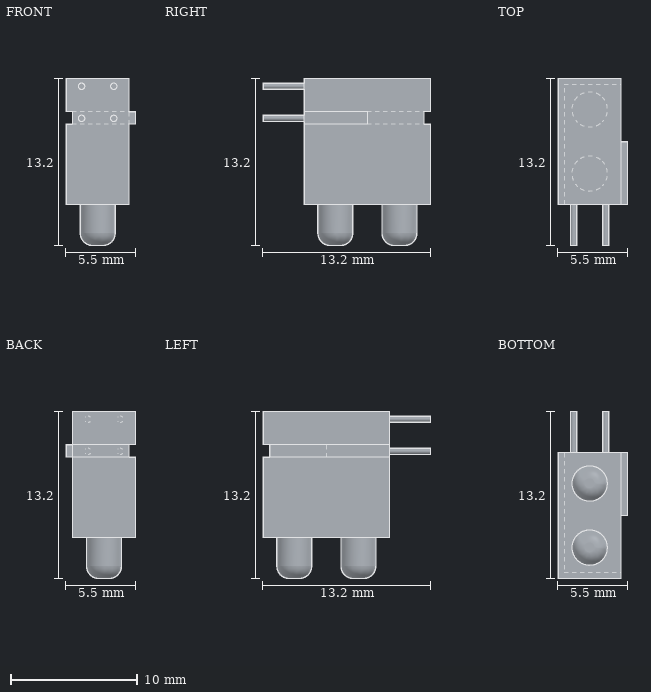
import cadquery as cq

body_width = 5.0
body_depth = 10.0
body_height = 10.0
protrusion = 3.25

groove_top_drop = 2.64
groove_height = 1.0
groove_depth = 0.5
rib_length = body_depth / 2
groove_bottom = body_height - groove_top_drop - groove_height

lamp_diameter = 2.8
lamp_round = 1.01
lamp_spacing = 5.07

pin_diameter = 0.5
pin_spacing = 2.55
top_pin_drop = 0.62


def box(x, y, z, width, depth, height):
    """Box placed by its lowest corner."""
    return cq.Workplane("XY").box(width, depth, height, centered=False).translate((x, y, z))


def make_housing():
    """Block with a groove along the left and back faces and a rib on the right."""
    block = box(0, 0, 0, body_width, body_depth, body_height)
    side_groove = box(0, 0, groove_bottom, groove_depth, body_depth, groove_height)
    back_groove = box(
        0, body_depth - groove_depth, groove_bottom, body_width, groove_depth, groove_height
    )
    rib = box(body_width, 0, groove_bottom, groove_depth, rib_length, groove_height)
    return block.cut(side_groove).cut(back_groove).union(rib)


def make_lamps():
    """Two round-ended lamps in a row along Y under the housing."""
    middle = body_depth / 2
    centres = [(body_width / 2, middle + side * lamp_spacing / 2) for side in (-1, 1)]
    lamps = cq.Workplane("XY").pushPoints(centres).circle(lamp_diameter / 2).extrude(-protrusion)
    return lamps.faces("<Z").edges().fillet(lamp_round)


def make_pins():
    """Square pattern of four pins on the front face."""
    upper_row = body_height - top_pin_drop
    centres = [
        (body_width / 2 + side * pin_spacing / 2, height)
        for side in (-1, 1)
        for height in (upper_row, upper_row - pin_spacing)
    ]
    return cq.Workplane("XZ").pushPoints(centres).circle(pin_diameter / 2).extrude(protrusion)


result = make_housing().union(make_lamps()).union(make_pins())